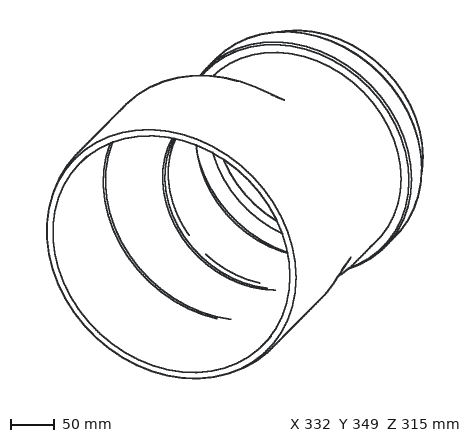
import cadquery as cq

total_length = 349.0
socket_wall = 7.5

spigot_diameter = 315.0
spigot_tip_diameter = 310.5
spigot_bore_diameter = 295.3
neck_diameter = 255.0
socket_diameter = 266.0
lip_diameter = 266.5
bead_diameter = 289.0
shoulder_diameter = 274.5
bead_bore_diameter = 274.5

spigot_chamfer_end = 8.7
reducer_start = 151.8
reducer_end = 187.8
neck_end = 199.0
socket_start = 219.5
bead_start = 286.2
bead_end = 322.8
lip_start = 331.0
ease_on_pipe = 1.5
ease_on_cone = 1.0
bore_lead = 4.5
bead_chamfer_length = 3.5
bead_chamfer_depth = 1.7

spigot_axis = 0
socket_axis = (spigot_diameter - neck_diameter) / 2

spigot_bore_radius = spigot_bore_diameter / 2
wall = spigot_diameter / 2 - spigot_bore_radius
neck_bore_radius = neck_diameter / 2 - wall
socket_radius = socket_diameter / 2
socket_bore_radius = socket_radius - socket_wall
bead_radius = bead_diameter / 2


def revolve_profile(points, axis_x):
    """Revolve (radius, y) points, closed along the axis, around the Y line at axis_x."""
    closed = [(0, points[0][1])] + points + [(0, points[-1][1])]
    profile = cq.Workplane("XY", origin=(axis_x, 0, 0)).polyline(closed).close()
    return profile.revolve(360, (0, 0, 0), (0, 1, 0))


def eccentric_cone(front_radius, back_radius, front_y, back_y):
    """Cone from spigot to neck, flush on the +X side, with both bends eased by short steps."""
    slope = (back_radius - front_radius) / (back_y - front_y)
    ease_change = slope * ease_on_cone
    sections = [
        (front_radius, front_y - ease_on_pipe),
        (front_radius + ease_change, front_y + ease_on_cone),
        (back_radius - ease_change, back_y - ease_on_cone),
        (back_radius, back_y + ease_on_pipe),
    ]
    along_y = cq.Vector(0, 1, 0)
    wires = []
    for radius, y in sections:
        center = cq.Vector(spigot_axis + front_radius - radius, y, 0)
        wires.append(cq.Wire.makeCircle(radius, center, along_y))
    return cq.Workplane(cq.Solid.makeLoft(wires, True))


spigot = revolve_profile(
    [
        (spigot_tip_diameter / 2, 0),
        (spigot_diameter / 2, spigot_chamfer_end),
        (spigot_diameter / 2, reducer_start - ease_on_pipe),
    ],
    spigot_axis,
)
socket = revolve_profile(
    [
        (neck_diameter / 2, reducer_end + ease_on_pipe),
        (neck_diameter / 2, neck_end),
        (socket_radius, socket_start),
        (socket_radius, bead_start),
        (bead_radius - bead_chamfer_depth, bead_start),
        (bead_radius, bead_start + bead_chamfer_length),
        (bead_radius, bead_end - bead_chamfer_length),
        (bead_radius - bead_chamfer_depth, bead_end),
        (shoulder_diameter / 2, bead_end),
        (lip_diameter / 2, lip_start),
        (lip_diameter / 2, total_length),
    ],
    socket_axis,
)
reducer = eccentric_cone(spigot_diameter / 2, neck_diameter / 2, reducer_start, reducer_end)
body = spigot.union(reducer).union(socket)

reducer_bore_start = reducer_start - bore_lead
reducer_bore_end = reducer_end - bore_lead
spigot_bore = revolve_profile(
    [
        (spigot_bore_radius, 0),
        (spigot_bore_radius, reducer_bore_start - ease_on_pipe),
    ],
    spigot_axis,
)
socket_bore = revolve_profile(
    [
        (neck_bore_radius, reducer_bore_end + ease_on_pipe),
        (neck_bore_radius, neck_end - bore_lead),
        (socket_bore_radius, socket_start),
        (socket_bore_radius, bead_start + socket_wall),
        (bead_bore_diameter / 2, bead_start + socket_wall),
        (bead_bore_diameter / 2, bead_end - socket_wall),
        (socket_bore_radius, lip_start),
        (socket_bore_radius, total_length),
    ],
    socket_axis,
)
reducer_bore = eccentric_cone(spigot_bore_radius, neck_bore_radius, reducer_bore_start, reducer_bore_end)
bore = spigot_bore.union(reducer_bore).union(socket_bore)

result = body.cut(bore)